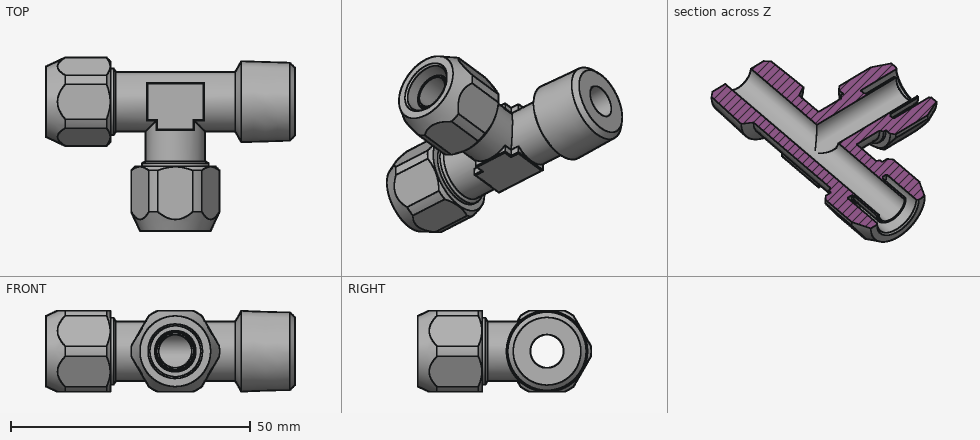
import cadquery as cq
import math

body_radius = 6.25
bore_radius = 3.45

tube_end_reach = 27.0

nut_length = 13.5
nut_across_flats = 17.0
nut_corner_radius = 9.25
nut_face_radius = 7.38
nut_cone_angle = 25.0
nut_rear_chamfer = 0.85
nut_rear = tube_end_reach - nut_length
nut_cone_length = (nut_corner_radius - nut_face_radius) / math.tan(math.radians(nut_cone_angle))

collar_radius = 7.0
collar_length = 0.65
shoulder_angle = 30.0
collar_front = nut_rear - collar_length
collar_cone_length = (collar_radius - body_radius) * math.tan(math.radians(shoulder_angle))

socket_radius = 5.3
socket_chamfer = 0.4
socket_depth = 10.0
insert_recess = 2.0
insert_radius = 4.0
insert_root_radius = 4.3
insert_chamfer = 0.15
socket_floor = tube_end_reach - socket_depth
insert_tip = tube_end_reach - insert_recess
insert_flare = insert_root_radius - insert_radius

male_reach = 25.0
male_length = 12.5
male_radius = 8.48
male_taper = 1 / 32
male_end_chamfer = 1.1
male_start = male_reach - male_length
male_shoulder_end = male_start + (male_radius - body_radius) * math.tan(math.radians(shoulder_angle))
male_chamfer_start = male_reach - male_end_chamfer
male_small_radius = male_radius - (male_chamfer_start - male_shoulder_end) * male_taper

pad_half_thickness = 6.55
pad_half_length = 6.0
pad_half_width = 4.0
pad_edge_chamfer = 0.2


def turned(profile):
    """Revolve a closed (distance along X, radius) outline around the X axis."""
    return cq.Workplane("XY").polyline(profile).close().revolve(360, (0, 0, 0), (1, 0, 0))


def make_nut():
    """Hexagon prism trimmed to its turned envelope, corners at +Y and -Y."""
    corner_to_corner = nut_across_flats / math.cos(math.radians(30))
    hexagon = cq.Workplane("YZ", origin=(nut_rear, 0, 0)).polygon(6, corner_to_corner).extrude(nut_length)
    envelope = turned([
        (nut_rear, 0),
        (nut_rear, nut_corner_radius - nut_rear_chamfer),
        (nut_rear + nut_rear_chamfer, nut_corner_radius),
        (tube_end_reach - nut_cone_length, nut_corner_radius),
        (tube_end_reach, nut_face_radius),
        (tube_end_reach, 0),
    ])
    return hexagon.intersect(envelope)


def make_tube_end():
    """Solid tube end pointing along +X: neck, collar and nut."""
    neck = turned([
        (0, 0),
        (0, body_radius),
        (collar_front - collar_cone_length, body_radius),
        (collar_front, collar_radius),
        (nut_rear, collar_radius),
        (nut_rear, 0),
    ])
    return neck.union(make_nut())


def make_tube_cavity():
    """Material removed from a tube end along +X: bore and tube socket."""
    return turned([
        (0, 0),
        (0, bore_radius),
        (insert_tip, bore_radius),
        (insert_tip, insert_radius - insert_chamfer),
        (insert_tip - insert_chamfer, insert_radius),
        (socket_floor + insert_flare, insert_radius),
        (socket_floor, insert_root_radius),
        (socket_floor, socket_radius),
        (tube_end_reach - socket_chamfer, socket_radius),
        (tube_end_reach, socket_radius + socket_chamfer),
        (tube_end_reach, 0),
    ])


def make_male_end():
    """Solid male end along +X: neck, shoulder cone and tapered thread envelope."""
    return turned([
        (0, 0),
        (0, body_radius),
        (male_start, body_radius),
        (male_shoulder_end, male_radius),
        (male_chamfer_start, male_small_radius),
        (male_reach, male_small_radius - male_end_chamfer),
        (male_reach, 0),
    ])


def make_pads():
    """T-shaped block that forms both pads, with beveled edges around its faces."""
    outline = [
        (-pad_half_length, pad_half_width),
        (-pad_half_length, -pad_half_width),
        (-pad_half_width, -pad_half_width),
        (-pad_half_width, -pad_half_length),
        (pad_half_width, -pad_half_length),
        (pad_half_width, -pad_half_width),
        (pad_half_length, -pad_half_width),
        (pad_half_length, pad_half_width),
    ]
    block = cq.Workplane("XY").polyline(outline).close().extrude(pad_half_thickness, both=True)
    return block.faces("|Z").chamfer(pad_edge_chamfer)


solid = make_male_end().union(make_pads())
cavity = cq.Workplane("YZ").circle(bore_radius).extrude(male_reach)

for turn in (180, -90):
    solid = solid.union(make_tube_end().rotate((0, 0, 0), (0, 0, 1), turn))
    cavity = cavity.union(make_tube_cavity().rotate((0, 0, 0), (0, 0, 1), turn))

result = solid.cut(cavity)